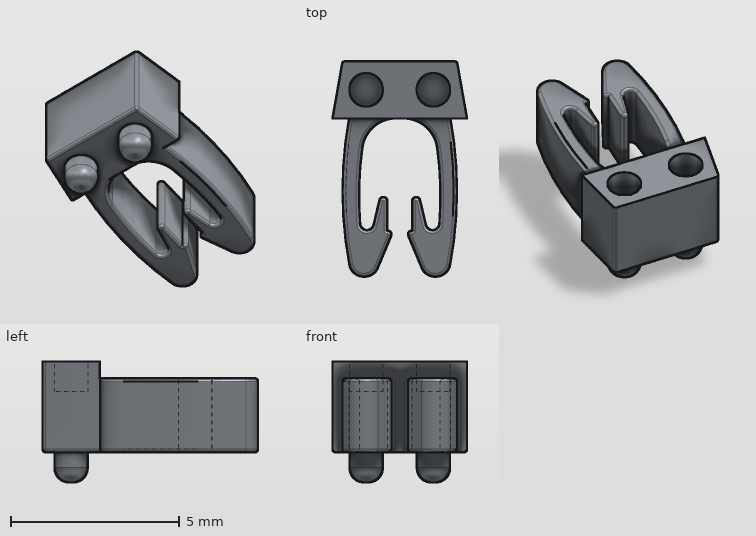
import cadquery as cq
import math

overall_length = 6.4
block_width = 4.0
block_depth = 1.7
block_height = 2.7
side_taper = 10
block_round = 0.1

pin_diameter = 1.0
pin_spacing = 2.0
pin_length = 0.895
pin_end_round = 0.45
socket_depth = pin_length

arm_height = 2.2
edge_round = 0.1
root_embed = 0.19
arm_length = overall_length - block_depth
bow_half_width = 1.7
bow_widest_y = -2.145
bow_radius = 11.84
cavity_radius = 0.985
cavity_center = (-0.13, -cavity_radius)
wall_start_y = -0.86
wall_middle = (-1.2, -2.175)

nose_radius = 0.45
nose_center_y = nose_radius - arm_length
bow_center = (bow_radius - bow_half_width, bow_widest_y)
nose_reach = math.sqrt((bow_radius - nose_radius) ** 2 - (nose_center_y - bow_widest_y) ** 2)
nose_center = (bow_center[0] - nose_reach, nose_center_y)
slot_radius = 0.2
slot_center = (-0.97, -3.11)
prong_radius = 0.12
prong_face_x = -0.365
prong_center = (prong_face_x - prong_radius, -2.45)
barb_radius = 0.11
barb_center = (-0.35, -3.44)


def on_circle(center, radius, angle):
    """Point on a circle, with the angle in degrees from +X."""
    a = math.radians(angle)
    return (center[0] + radius * math.cos(a), center[1] + radius * math.sin(a))


def bearing(start, end):
    """Direction from start to end, in degrees from +X."""
    return math.degrees(math.atan2(end[1] - start[1], end[0] - start[0]))


def bow_point(y):
    """Point on the bowed outer side of the left arm."""
    drop = bow_radius - math.sqrt(bow_radius**2 - (y - bow_widest_y) ** 2)
    return (drop - bow_half_width, y)


def make_block():
    back_half = block_width / 2 - block_depth * math.tan(math.radians(side_taper))
    front_half = block_width / 2
    outline = [
        (-front_half, 0),
        (front_half, 0),
        (back_half, block_depth),
        (-back_half, block_depth),
    ]
    block = cq.Workplane("XY").polyline(outline).close().extrude(block_height)
    block = block.edges("|Z and >Y").fillet(block_round)
    return block.faces("<Z").edges("not <Y").fillet(block_round)


def pin_positions():
    return [(side * pin_spacing / 2, block_depth / 2) for side in (-1, 1)]


def make_pins():
    pins = cq.Workplane("XY").workplane(offset=-pin_length).pushPoints(pin_positions())
    pins = pins.circle(pin_diameter / 2).extrude(pin_length + root_embed)
    return pins.faces("<Z").edges().fillet(pin_end_round)


def make_sockets():
    sockets = cq.Workplane("XY").workplane(offset=block_height - socket_depth)
    return sockets.pushPoints(pin_positions()).circle(pin_diameter / 2).extrude(socket_depth)


def make_left_arm():
    flank_length = math.dist(nose_center, barb_center)
    flank_lean = math.degrees(math.asin((nose_radius - barb_radius) / flank_length))
    flank_normal = bearing(nose_center, barb_center) - 90 + flank_lean

    prong_run = math.dist(slot_center, prong_center)
    prong_lean = math.degrees(math.asin((slot_radius + prong_radius) / prong_run))
    slot_normal = bearing(slot_center, prong_center) - 90 + prong_lean

    bow_end = on_circle(nose_center, nose_radius, bearing(bow_center, nose_center))
    barb_top_y = barb_center[1] + math.sqrt(barb_radius**2 - (prong_face_x - barb_center[0]) ** 2)
    wall_start_angle = 180 - math.degrees(math.asin((wall_start_y - cavity_center[1]) / cavity_radius))
    wall_start = on_circle(cavity_center, cavity_radius, wall_start_angle)
    cavity_top = on_circle(cavity_center, cavity_radius, 90)
    cavity_side = on_circle(cavity_center, cavity_radius, 130)

    outline = (
        cq.Workplane("XY")
        .moveTo(*bow_point(root_embed))
        .threePointArc(bow_point(bow_widest_y), bow_end)
        .threePointArc(
            on_circle(nose_center, nose_radius, -90),
            on_circle(nose_center, nose_radius, flank_normal),
        )
        .lineTo(*on_circle(barb_center, barb_radius, flank_normal))
        .threePointArc(on_circle(barb_center, barb_radius, 30), (prong_face_x, barb_top_y))
        .lineTo(prong_face_x, prong_center[1])
        .threePointArc(
            on_circle(prong_center, prong_radius, 90),
            on_circle(prong_center, prong_radius, slot_normal + 180),
        )
        .lineTo(*on_circle(slot_center, slot_radius, slot_normal))
        .threePointArc(
            on_circle(slot_center, slot_radius, -90),
            on_circle(slot_center, slot_radius, 180),
        )
        .threePointArc(wall_middle, wall_start)
        .threePointArc(cavity_side, cavity_top)
        .lineTo(cavity_center[0], root_embed)
        .close()
    )
    lower_half = outline.extrude(arm_height / 2)

    buried = cq.selectors.BoxSelector(
        (-block_width, 0, -0.065), (block_width, block_depth, block_height)
    )
    rim = lower_half.faces("<Z").edges(cq.selectors.InverseSelector(buried))
    lower_half = rim.fillet(edge_round)

    upper_half = lower_half.mirror("XY", (0, 0, arm_height / 2))
    return lower_half.union(upper_half)


left_arm = make_left_arm()
right_arm = left_arm.mirror("YZ")
result = make_block().union(make_pins()).union(left_arm).union(right_arm).cut(make_sockets())